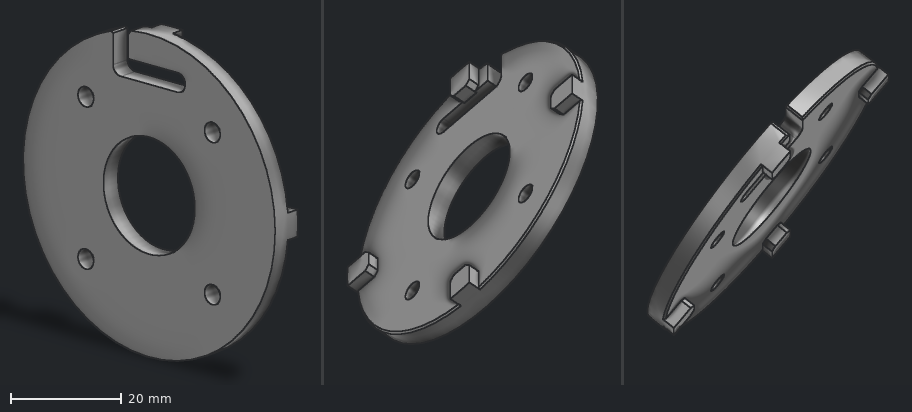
import cadquery as cq
import math

disc_radius = 30.9
plate_thickness = 3.95
total_depth = 6.2
rim_chamfer = 0.4

bore_radius = 11.2
screw_hole_radius = 1.9
screw_hole_spacing = 31.0

slot_width = 3.7
slot_reach = 8.85
slot_floor = 21.3
mouth_left_chamfer = 0.45
mouth_right_chamfer = 0.6

tab_width = 5.25
tab_length = 5.95
tab_chamfer = 1.0
tab_count = 4


def cylinder_along_y(radius, depth):
    return cq.Workplane("XZ").circle(radius).extrude(-depth)


def make_slot():
    """L-shaped cutter with a rounded outer corner and a round closed end."""
    end_radius = slot_width / 2
    mouth_left = -slot_reach
    mouth_right = mouth_left + slot_width
    channel_top = slot_floor + slot_width
    end_center = slot_reach - end_radius
    corner_mid = end_radius * (1 - math.sqrt(0.5))
    return (
        cq.Workplane("XZ")
        .moveTo(mouth_left, disc_radius)
        .lineTo(mouth_left, slot_floor + end_radius)
        .threePointArc(
            (mouth_left + corner_mid, slot_floor + corner_mid),
            (mouth_left + end_radius, slot_floor),
        )
        .lineTo(end_center, slot_floor)
        .threePointArc((slot_reach, slot_floor + end_radius), (end_center, channel_top))
        .lineTo(mouth_right, channel_top)
        .lineTo(mouth_right, disc_radius)
        .close()
        .extrude(-plate_thickness)
    )


def chamfer_mouth_edge(plate, x, size):
    """Chamfer the edge where the slot wall at the given X meets the rim."""
    z = math.sqrt(disc_radius**2 - x**2)
    corner = cq.selectors.NearestToPointSelector((x, plate_thickness / 2, z))
    return plate.edges("|Y").edges(corner).chamfer(size)


def make_plate():
    plate = cylinder_along_y(disc_radius, plate_thickness).cut(make_slot())
    plate = chamfer_mouth_edge(plate, -slot_reach, mouth_left_chamfer)
    plate = chamfer_mouth_edge(plate, slot_width - slot_reach, mouth_right_chamfer)

    rim = cylinder_along_y(disc_radius, plate_thickness).faces(">Y").chamfer(rim_chamfer)
    plate = plate.intersect(rim)

    plate = plate.cut(cylinder_along_y(bore_radius, plate_thickness))
    screw_holes = (
        cq.Workplane("XZ")
        .rect(screw_hole_spacing, screw_hole_spacing, forConstruction=True)
        .vertices()
        .circle(screw_hole_radius)
        .extrude(-plate_thickness)
    )
    return plate.cut(screw_holes)


def make_tab():
    """Tab at +X, flush with the disc rim, with its inner corners chamfered."""
    tab_start = plate_thickness - rim_chamfer
    block = (
        cq.Workplane("XZ", origin=(0, tab_start, 0))
        .center(disc_radius - tab_length / 2, 0)
        .rect(tab_length, tab_width)
        .extrude(tab_start - total_depth)
        .faces("<X")
        .edges("|Y")
        .chamfer(tab_chamfer)
    )
    return block.intersect(cylinder_along_y(disc_radius, total_depth))


result = make_plate()
for index in range(tab_count):
    angle = index * 360 / tab_count
    result = result.union(make_tab().rotate((0, 0, 0), (0, 1, 0), angle))